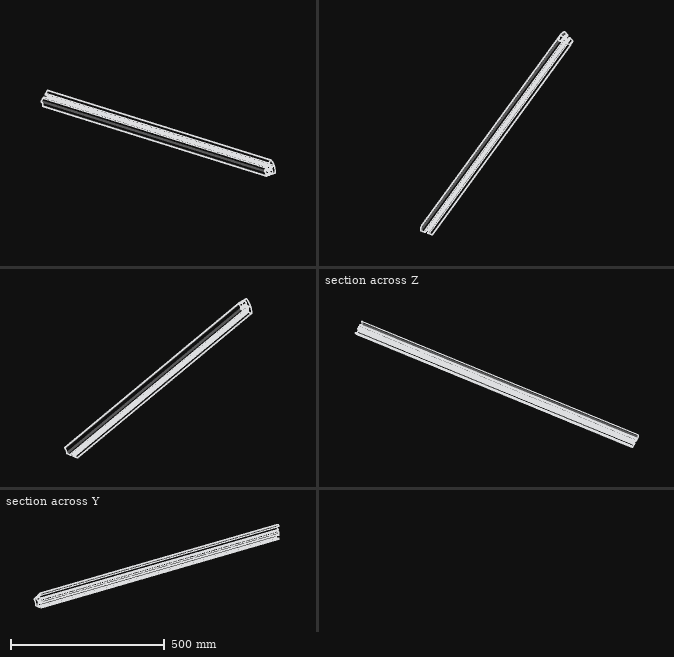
import cadquery as cq
import math


length = 1000.0
leg_width = 45.0
leg_height = 12.11
bend_angle = 45.0
bend_inner_radius = 21.0
corner_radius = 2.5

wall = 1.5
core_wall = 3.0
core_hole_diameter = 7.3

slot_opening = 8.3
slot_width = 16.5
lip_thickness = 4.1
slot_floor_width = 12.0
slot_floor_distance = 7.0
slot_shoulder_distance = 8.5

half_angle = math.radians(bend_angle / 2)
half_width = leg_width / 2
face_z = -half_width * math.tan(half_angle) - leg_height
lip_z = face_z + lip_thickness
bend_outer_radius = bend_inner_radius + leg_width
bend_y = -half_width - bend_inner_radius
bend_z = bend_y * math.tan(half_angle)
half_slot = slot_width / 2
half_floor = slot_floor_width / 2
half_opening = slot_opening / 2
x_axis = ((0, 0, 0), (1, 0, 0))


def profile():
    """Sketch plane of the profile at the X = 0 end."""
    return cq.Workplane("YZ")


def with_mirror(solid):
    """Join a solid with its reflection about the plane through the X axis and the bisector."""
    turn = bend_angle / 2
    reflection = solid.rotate(*x_axis, -turn).mirror("XY").rotate(*x_axis, turn)
    return solid.union(reflection)


def on_bend_arc(radius, angle):
    """Point at the given radius and angle (radians) around the bend centre."""
    return (bend_y + radius * math.cos(angle), bend_z + radius * math.sin(angle))


def half_outline(inset):
    """Leg and half of the bend sector, with every outer wall moved in by the inset."""
    inner_radius = bend_inner_radius + inset
    outer_radius = bend_outer_radius - inset
    bottom = face_z + inset
    half = (
        profile()
        .moveTo(*on_bend_arc(inner_radius, half_angle))
        .threePointArc(on_bend_arc(inner_radius, half_angle / 2), on_bend_arc(inner_radius, 0))
        .lineTo(-half_width + inset, bottom)
        .lineTo(half_width - inset, bottom)
        .lineTo(*on_bend_arc(outer_radius, 0))
        .threePointArc(
            on_bend_arc(outer_radius, half_angle / 2),
            on_bend_arc(outer_radius, half_angle),
        )
        .close()
        .extrude(length)
    )
    return half.faces("<Z").edges("|X").fillet(corner_radius - inset)


def symmetric_outline(right_side):
    """Closed outline from the points of its +Y side, listed from the top down."""
    left_side = [(-y, z) for y, z in reversed(right_side)]
    return profile().polyline(right_side + left_side).close()


def slot_flank():
    """Points on the +Y side of the slot, from its floor to its full width."""
    return [(half_floor, -slot_floor_distance), (half_slot, -slot_shoulder_distance)]


def slot_space():
    """Room of the T-slot that opens downwards."""
    lip = [(half_slot, lip_z), (half_opening, lip_z), (half_opening, face_z)]
    return symmetric_outline(slot_flank() + lip).extrude(length)


def slot_block():
    """Solid block of the T-slot, its walls and its lips, before the slot is cut."""
    outline = symmetric_outline(slot_flank() + [(half_slot, face_z)])
    return outline.offset2D(wall, "intersection").extrude(length)


def core():
    """Boss around the core hole."""
    return profile().circle(core_hole_diameter / 2 + core_wall).extrude(length)


def bisector_web():
    """Web from the core to the middle of the convex wall."""
    web_length = bend_outer_radius - math.hypot(bend_y, bend_z) - wall / 2
    plate = cq.Workplane("XY").box(length, web_length, wall, centered=(False, False, True))
    return plate.rotate(*x_axis, bend_angle / 2)


def cavities():
    """Hollow chambers between the outer wall, the slots, the core and the web."""
    hollow = with_mirror(half_outline(wall))
    return hollow.cut(with_mirror(slot_block())).cut(core()).cut(bisector_web())


core_hole = profile().circle(core_hole_diameter / 2).extrude(length)

result = with_mirror(half_outline(0)).cut(cavities()).cut(with_mirror(slot_space())).cut(core_hole)